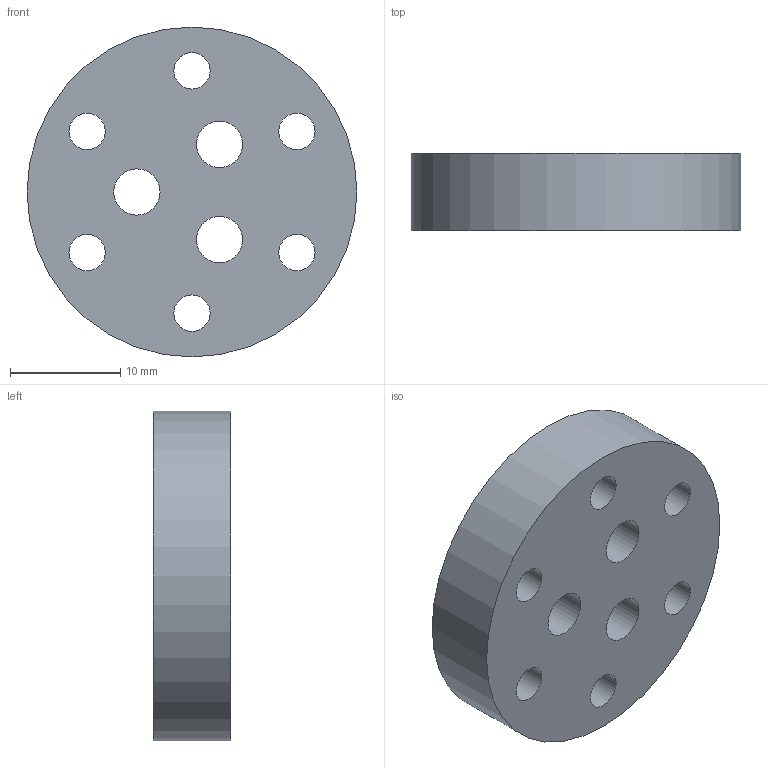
import cadquery as cq

disc_diameter = 29.95
disc_thickness = 7.0


outer_hole_count = 6
outer_hole_diameter = 3.3
outer_ring_radius = 11.0
outer_start_angle = 0.0

inner_hole_count = 3
inner_hole_diameter = 4.2
inner_ring_radius = 5.0
inner_start_angle = 90.0

back_plane = cq.Plane(origin=(0, disc_thickness / 2, 0), xDir=(0, 0, 1), normal=(0, -1, 0))


def make_disc():
    """Plain round disc, extruded from the +Y face to the -Y face."""
    return cq.Workplane(back_plane).circle(disc_diameter / 2).extrude(disc_thickness)


def make_hole_ring(count, hole_diameter, ring_radius, start_angle):
    """Cylinders through the disc thickness, evenly spaced around its axis."""
    return (
        cq.Workplane(back_plane)
        .polarArray(ring_radius, start_angle, 360, count, rotate=False)
        .circle(hole_diameter / 2)
        .extrude(disc_thickness)
    )


outer_holes = make_hole_ring(outer_hole_count, outer_hole_diameter, outer_ring_radius, outer_start_angle)
inner_holes = make_hole_ring(inner_hole_count, inner_hole_diameter, inner_ring_radius, inner_start_angle)

result = make_disc().cut(outer_holes).cut(inner_holes)